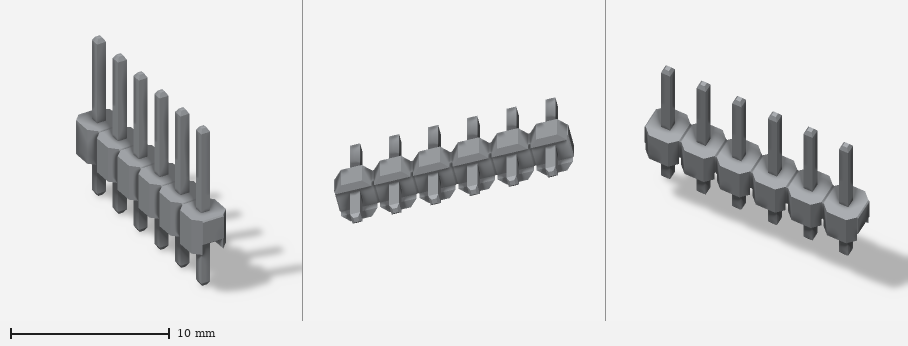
import cadquery as cq

pin_count = 6
row_length = 15.24
pitch = row_length / pin_count

housing_height = 2.5
housing_depth = 2.55
corner_chamfer = 0.5
joint_inset = 0.084
channel_height = 0.7
block_length = pitch - 2 * joint_inset
channel_width = housing_depth - 2 * corner_chamfer

pin_width = 0.65
pin_above = 6.1
pin_below = 3.0
tip_length = 0.29
tip_width = 0.32

pin_positions = [(i - (pin_count - 1) / 2) * pitch for i in range(pin_count)]


def make_block(x):
    """Eight-sided block around one pin."""
    return (
        cq.Workplane("XY")
        .center(x, 0)
        .rect(block_length, housing_depth)
        .extrude(housing_height)
        .edges("|Z")
        .chamfer(corner_chamfer)
    )


def make_web(x):
    """One pitch of the joining bar, bevelled at its ends to leave V grooves between blocks."""
    web_height = housing_height - channel_height
    return (
        cq.Workplane("XY")
        .box(pitch, channel_width, web_height, centered=(True, True, False))
        .edges("|Y")
        .chamfer(joint_inset)
        .translate((x, 0, channel_height))
    )


def make_housing():
    """Blocks joined in a row, with a channel along the underside and a hole for each pin."""
    housing = make_block(pin_positions[0])
    for x in pin_positions[1:]:
        housing = housing.union(make_block(x))

    channel = cq.Workplane("XY").box(
        row_length, channel_width, channel_height, centered=(True, True, False)
    )
    housing = housing.cut(channel)

    for x in pin_positions:
        housing = housing.union(make_web(x))

    pin_holes = (
        cq.Workplane("XY")
        .pushPoints([(x, 0) for x in pin_positions])
        .rect(pin_width, pin_width)
        .extrude(housing_height)
    )
    return housing.cut(pin_holes)


def make_tip(x, base_z, direction):
    """Pyramid-shaped pin end that narrows upward (direction 1) or downward (direction -1)."""
    return (
        cq.Workplane("XY", origin=(x, 0, base_z))
        .rect(pin_width, pin_width)
        .workplane(offset=direction * tip_length)
        .rect(tip_width, tip_width)
        .loft(ruled=True)
    )


def make_pin(x):
    """Square pin through the housing, tapered at both ends."""
    shank_bottom = tip_length - pin_below
    shank_top = housing_height + pin_above - tip_length
    shank = (
        cq.Workplane("XY", origin=(x, 0, shank_bottom))
        .rect(pin_width, pin_width)
        .extrude(shank_top - shank_bottom)
    )
    return shank.union(make_tip(x, shank_top, 1)).union(make_tip(x, shank_bottom, -1))


housing = make_housing()
pins = [make_pin(x) for x in pin_positions]

result = cq.Compound.makeCompound([housing.solids().val(), *[pin.solids().val() for pin in pins]])